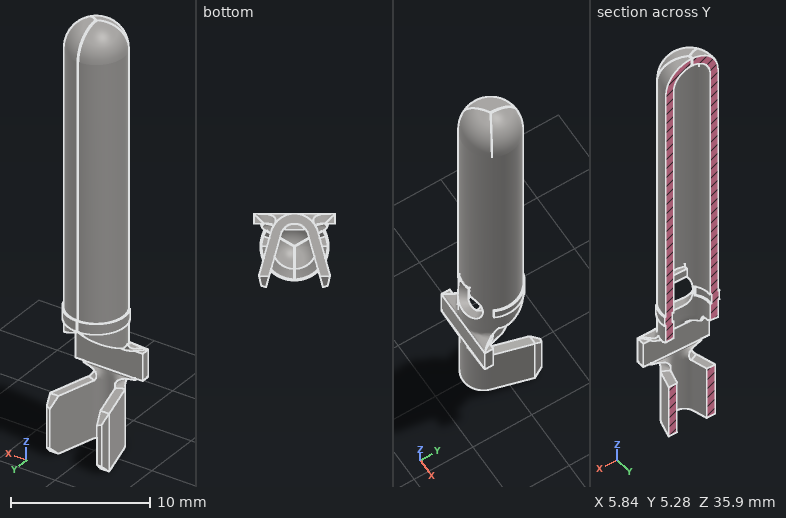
import math

import cadquery as cq


sheet = 0.73
pin_radius = 2.35
bore_radius = pin_radius - sheet
total_length = 35.89
dome_center_z = total_length - pin_radius
seam_gap = 0.1
dome_slit_gap = 0.04
dome_slit_count = 3

barrel_bottom_z = 9.18
barrel_edge_rise = 1.72

band_bottom_z = 11.0
band_height = 0.88
band_offset = 0.11
band_end_y = -1.1

hole_center_z = 11.49
hole_radius = 1.57
hole_half_width = 1.63

tongue_width = 1.38
tongue_bend_z = 13.83
tongue_slit_top_z = 14.07
tongue_slit_gap = 0.04
tongue_bend_radius = 0.75
tongue_end_length = 0.3

tab_width = 5.84
tab_bottom_z = 5.82
tab_top_z = 8.10
tab_edge_bevel = 0.75

crimp_length = 4.85
crimp_radius = 1.74
crimp_center_y = crimp_radius - pin_radius
crimp_flare = math.radians(15.6)
crimp_top_y = 2.93
bevel_start_y = 2.1
crimp_tip_thickness = 0.36
crimp_corner_chamfer = 0.78

upper_neck = [(barrel_bottom_z, pin_radius, 72), (8.8, 2.35, 65), (8.5, 2.7, 53), (8.3, 6.0, 24)]
lower_neck = [(crimp_length, crimp_radius, 64), (5.1, 1.78, 52), (5.4, 2.8, 29.5), (5.6, 14.0, 7)]

back_y = -pin_radius


def box(x_size, y_range, z_range):
    """Box centred on X that spans the given Y and Z ranges."""
    y_size = y_range[1] - y_range[0]
    z_size = z_range[1] - z_range[0]
    return cq.Workplane("XY").box(x_size, y_size, z_size, centered=(True, False, False)).translate(
        (0, y_range[0], z_range[0])
    )


def rounded_rod(radius):
    """Rod on the pin axis with a hemispherical top."""
    rod = cq.Workplane("XY").workplane(offset=barrel_bottom_z).circle(radius)
    rod = rod.extrude(dome_center_z - barrel_bottom_z)
    return rod.union(cq.Workplane("XY").sphere(radius).translate((0, 0, dome_center_z)))


def band_ring(outer_radius, inner_radius):
    """Ring at the band height, cut off at the band ends."""
    ring = cq.Workplane("XY").workplane(offset=band_bottom_z)
    ring = ring.circle(outer_radius).circle(inner_radius).extrude(band_height)
    keep = box(4 * pin_radius, (band_end_y, 2 * pin_radius), (0, total_length))
    return ring.intersect(keep)


def barrel_edge_cutter():
    """Everything below the lower edge, which climbs as a helix from each side to the seam."""
    turn_pitch = 4 * barrel_edge_rise
    inner = cq.Wire.makeHelix(turn_pitch, barrel_edge_rise, bore_radius / 2)
    outer = cq.Wire.makeHelix(turn_pitch, barrel_edge_rise, 2 * pin_radius)
    ramp = cq.Face.makeRuledSurface(inner.Edges()[0], outer.Edges()[0])
    solid = cq.Solid.extrudeLinear(ramp, cq.Vector(0, 0, -2 * barrel_edge_rise))
    half = cq.Workplane(obj=solid).translate((0, 0, barrel_bottom_z))
    return half, half.mirror("YZ")


def hole_cutter():
    """Elliptical funnel narrowing towards the pin axis, with constant height along Z."""
    depth = 1.2 * pin_radius
    spread = math.tan(math.asin(hole_half_width / pin_radius))
    near_axis = 0.1
    funnel = cq.Workplane("XZ", origin=(0, -near_axis, hole_center_z))
    funnel = funnel.ellipse(near_axis * spread, hole_radius)
    funnel = funnel.workplane(offset=depth - near_axis).ellipse(depth * spread, hole_radius)
    return funnel.loft(ruled=True, combine=True)


def add_tongue(pin):
    """Opens a window above the hole and fills it with the inward-bent tongue."""
    face_y = -math.sqrt(pin_radius**2 - (tongue_width / 2) ** 2)
    bend_y = face_y + tongue_bend_radius
    bottom_z = tongue_bend_z - tongue_bend_radius
    pin = pin.cut(box(tongue_width, (2 * back_y, 0), (hole_center_z, tongue_bend_z)))
    profile = cq.Workplane("YZ").moveTo(face_y, tongue_bend_z)
    arc_mid = (
        bend_y - tongue_bend_radius * math.sqrt(0.5),
        tongue_bend_z - tongue_bend_radius * math.sqrt(0.5),
    )
    profile = profile.threePointArc(arc_mid, (bend_y, bottom_z)).hLine(tongue_end_length)
    profile = profile.vLineTo(tongue_bend_z).close()
    width = tongue_width - 2 * tongue_slit_gap
    tongue = profile.extrude(width / 2, both=True)
    for side in (-1, 1):
        slit_x = side * (tongue_width - tongue_slit_gap) / 2
        slit = box(tongue_slit_gap, (2 * back_y, 0), (bottom_z, tongue_slit_top_z))
        pin = pin.cut(slit.translate((slit_x, 0, 0)))
    return pin.union(tongue)


def make_pin():
    pin = rounded_rod(pin_radius)
    pin = pin.union(band_ring(pin_radius + band_offset, bore_radius))
    pin = pin.cut(rounded_rod(bore_radius))
    pin = pin.cut(band_ring(bore_radius + band_offset, bore_radius / 2))
    for half in barrel_edge_cutter():
        pin = pin.cut(half)
    pin = pin.cut(hole_cutter())
    pin = add_tongue(pin)
    pin = pin.cut(box(seam_gap, (0, 2 * pin_radius), (0, total_length)))
    for index in range(dome_slit_count):
        slit = box(dome_slit_gap, (0, 2 * pin_radius), (dome_center_z, total_length))
        pin = pin.cut(slit.rotate((0, 0, 0), (0, 0, 1), index * 360 / dome_slit_count))
    return pin


def strip_wire(z, outer_side, outer_mid, inner_side, inner_mid):
    """Closed, X-symmetric strip section from its +X end points and its points on X = 0."""

    def at(point, side=1):
        return cq.Vector(side * point[0], point[1], z)

    return cq.Wire.assembleEdges(
        [
            cq.Edge.makeThreePointArc(at(outer_side, -1), at(outer_mid), at(outer_side)),
            cq.Edge.makeLine(at(outer_side), at(inner_side)),
            cq.Edge.makeThreePointArc(at(inner_side), at(inner_mid), at(inner_side, -1)),
            cq.Edge.makeLine(at(inner_side, -1), at(outer_side, -1)),
        ]
    )


def bent_section(z, radius, half_angle):
    """Section of the sheet bent to an outer radius, touching the back line of the pin."""
    angle = math.radians(half_angle)
    center_y = back_y + radius

    def on_arc(arc_radius, turn):
        return arc_radius * math.sin(turn), center_y - arc_radius * math.cos(turn)

    inner = radius - sheet
    return strip_wire(z, on_arc(radius, angle), on_arc(radius, 0), on_arc(inner, angle), on_arc(inner, 0))


def flat_section(z):
    """Nearly flat section where a neck meets the tab, with bevelled ends."""
    crown = 0.002
    front_y = back_y + sheet
    half = tab_width / 2
    return strip_wire(
        z,
        (half, back_y + crown),
        (0, back_y),
        (half - tab_edge_bevel, front_y),
        (0, front_y - crown),
    )


def make_neck(bends, tab_z):
    wires = [bent_section(*bend) for bend in bends]
    wires.append(flat_section(tab_z))
    return cq.Workplane(obj=cq.Solid.makeLoft(wires))


def make_crimp():
    """U-shaped crimp with flared walls, coined tips and chamfered wall corners."""
    along = (math.sin(crimp_flare), math.cos(crimp_flare))
    across = (-math.cos(crimp_flare), math.sin(crimp_flare))
    outer_foot = (-crimp_radius * across[0], crimp_center_y - crimp_radius * across[1])
    inner_radius = crimp_radius - sheet
    inner_foot = (-inner_radius * across[0], crimp_center_y - inner_radius * across[1])

    def up_wall(foot, y):
        return foot[0] + (y - foot[1]) * along[0] / along[1], y

    bevel_start = up_wall(outer_foot, bevel_start_y)
    inner_tip = up_wall(inner_foot, crimp_top_y)
    outer_tip = (
        inner_tip[0] - crimp_tip_thickness * across[0],
        inner_tip[1] - crimp_tip_thickness * across[1],
    )

    def left(point):
        return -point[0], point[1]

    profile = cq.Workplane("XY").moveTo(*left(outer_foot))
    profile = profile.threePointArc((0, back_y), outer_foot)
    profile = profile.lineTo(*bevel_start).lineTo(*outer_tip).lineTo(*inner_tip).lineTo(*inner_foot)
    profile = profile.threePointArc((0, back_y + sheet), left(inner_foot))
    profile = profile.lineTo(*left(inner_tip)).lineTo(*left(outer_tip)).lineTo(*left(bevel_start)).close()
    crimp = profile.extrude(crimp_length)

    side_outline = (
        cq.Workplane("YZ")
        .moveTo(back_y, 0)
        .lineTo(crimp_top_y - crimp_corner_chamfer, 0)
        .lineTo(crimp_top_y, crimp_corner_chamfer)
        .lineTo(crimp_top_y, crimp_length - crimp_corner_chamfer)
        .lineTo(crimp_top_y - crimp_corner_chamfer, crimp_length)
        .lineTo(back_y, crimp_length)
        .close()
        .extrude(tab_width, both=True)
    )
    return crimp.intersect(side_outline)


result = (
    make_pin()
    .union(make_neck(upper_neck, tab_top_z))
    .union(box(tab_width, (back_y, back_y + sheet), (tab_bottom_z, tab_top_z)))
    .union(make_neck(lower_neck, tab_bottom_z))
    .union(make_crimp())
)